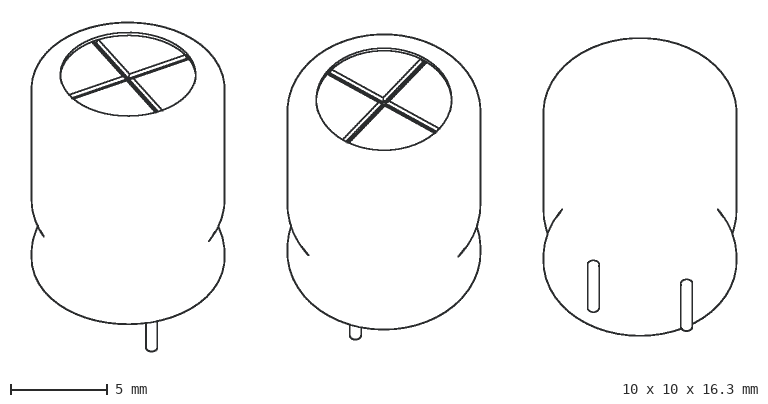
import cadquery as cq
import math

TOTAL_HEIGHT = 16.3

CAN_DIAMETER = 10.0
CAN_HEIGHT = 13.0
CAN_RADIUS = CAN_DIAMETER / 2
RIM_ROUND = 1.0

CRIMP_HEIGHT = 3.02
CRIMP_DEPTH = 0.49
CRIMP_HALF_WIDTH = 1.81
CRIMP_WAIST_HALF_WIDTH = 0.75

RECESS_DIAMETER = 7.0
RECESS_DEPTH = 0.2
VENT_WIDTH = 0.39
VENT_FLOOR_WIDTH = 0.1
VENT_DEPTH = (VENT_WIDTH - VENT_FLOOR_WIDTH) / 2

LEAD_DIAMETER = 0.6
LEAD_SPACING = 5.0
LEAD_LENGTH = TOTAL_HEIGHT - CAN_HEIGHT
LEAD_TIP_ROUND = 0.1


def crimp_offset(distance):
    """Radial inset of the crimp at a vertical distance from its waist."""
    turn = 2 * math.atan(CRIMP_DEPTH / CRIMP_HALF_WIDTH)
    waist_radius = CRIMP_WAIST_HALF_WIDTH / math.sin(turn)
    shoulder_radius = (CRIMP_HALF_WIDTH - CRIMP_WAIST_HALF_WIDTH) / math.sin(turn)
    if distance <= CRIMP_WAIST_HALF_WIDTH:
        return CRIMP_DEPTH - waist_radius + math.sqrt(waist_radius**2 - distance**2)
    return shoulder_radius - math.sqrt(shoulder_radius**2 - (CRIMP_HALF_WIDTH - distance) ** 2)


def crimp_point(rise):
    """Profile point (radius, height) of the crimp at a rise above its waist."""
    return (CAN_RADIUS - crimp_offset(abs(rise)), CRIMP_HEIGHT + rise)


def make_can():
    """Revolved sleeve with rounded rims and a smooth crimp."""
    shoulder_middle = (CRIMP_HALF_WIDTH + CRIMP_WAIST_HALF_WIDTH) / 2
    rim_middle = RIM_ROUND * (1 - math.sqrt(0.5))
    profile = (
        cq.Workplane("XZ")
        .lineTo(CAN_RADIUS - RIM_ROUND, 0)
        .threePointArc((CAN_RADIUS - rim_middle, rim_middle), (CAN_RADIUS, RIM_ROUND))
        .lineTo(*crimp_point(-CRIMP_HALF_WIDTH))
        .threePointArc(crimp_point(-shoulder_middle), crimp_point(-CRIMP_WAIST_HALF_WIDTH))
        .threePointArc(crimp_point(0), crimp_point(CRIMP_WAIST_HALF_WIDTH))
        .threePointArc(crimp_point(shoulder_middle), crimp_point(CRIMP_HALF_WIDTH))
        .lineTo(CAN_RADIUS, CAN_HEIGHT - RIM_ROUND)
        .threePointArc(
            (CAN_RADIUS - rim_middle, CAN_HEIGHT - rim_middle),
            (CAN_RADIUS - RIM_ROUND, CAN_HEIGHT),
        )
        .lineTo(0, CAN_HEIGHT)
        .close()
    )
    return profile.revolve(360, (0, 0, 0), (0, 1, 0))


def make_top_recess():
    """Shallow round recess with its floor below the top rim."""
    floor = CAN_HEIGHT - RECESS_DEPTH
    return cq.Workplane("XY").workplane(offset=floor).circle(RECESS_DIAMETER / 2).extrude(RECESS_DEPTH)


def make_vent_groove(plane):
    """Flat-bottomed groove with sloping walls across the recess floor, running normal to the given plane."""
    top = CAN_HEIGHT - RECESS_DEPTH
    bottom = top - VENT_DEPTH
    outline = [
        (-VENT_WIDTH / 2, top),
        (VENT_WIDTH / 2, top),
        (VENT_FLOOR_WIDTH / 2, bottom),
        (-VENT_FLOOR_WIDTH / 2, bottom),
    ]
    return cq.Workplane(plane).polyline(outline).close().extrude(RECESS_DIAMETER / 2, both=True)


def make_lead(x):
    """Round wire hanging below the can, with a slightly rounded tip."""
    wire = cq.Workplane("XY").center(x, 0).circle(LEAD_DIAMETER / 2).extrude(-LEAD_LENGTH)
    return wire.faces("<Z").fillet(LEAD_TIP_ROUND)


result = make_can().cut(make_top_recess())
for groove_plane in ("XZ", "YZ"):
    result = result.cut(make_vent_groove(groove_plane))
for side in (-1, 1):
    result = result.union(make_lead(side * LEAD_SPACING / 2))